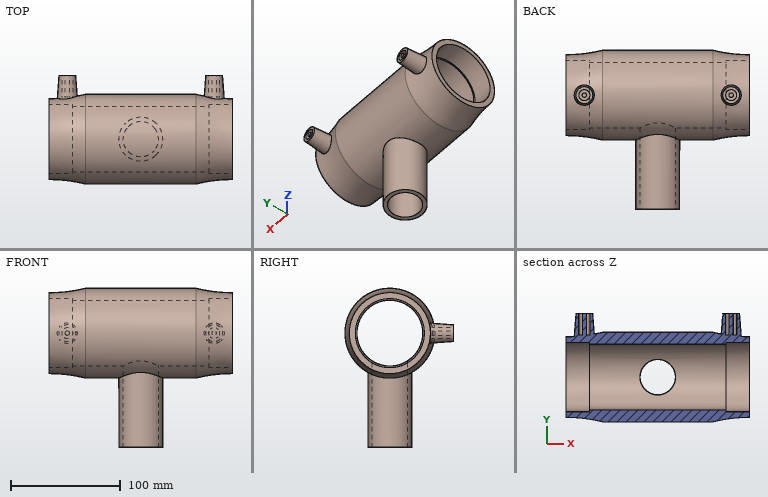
import cadquery as cq
import math

sleeve_length = 167.0
sleeve_radius = 82.0 / 2
end_radius = 36.9
taper_length = 33.4
socket_radius = 63.0 / 2
socket_depth = 21.4
bore_radius = 59.8 / 2

overall_height = 145.0
branch_radius = 40.0 / 2
branch_bore_radius = 32.0 / 2
branch_reach = overall_height - sleeve_radius

terminal_offset = 66.8
overall_width = 99.0
terminal_reach = overall_width - sleeve_radius
terminal_root = 33.4
terminal_root_radius = 9.5
terminal_tip_radius = 7.7
terminal_hole_radius = 10.0 / 2
terminal_hole_floor = 38.4
pin_radius = 4.0 / 2

half_length = sleeve_length / 2
taper_start = half_length - taper_length

taper_rise = sleeve_radius - end_radius
arc_radius = (taper_length**2 + taper_rise**2) / (2 * taper_rise)
arc_middle_angle = math.asin(taper_length / arc_radius) / 2
arc_middle_x = half_length - arc_radius * math.sin(arc_middle_angle)
arc_middle_radius = end_radius + arc_radius * (1 - math.cos(arc_middle_angle))


def cylinder_along_x(radius, start, length):
    return cq.Workplane("YZ", origin=(start, 0, 0)).circle(radius).extrude(length)


def cylinder_downward(radius):
    return cq.Workplane("XY").circle(radius).extrude(-branch_reach)


def make_sleeve():
    profile = (
        cq.Workplane("XY")
        .moveTo(-half_length, 0)
        .lineTo(-half_length, end_radius)
        .threePointArc((-arc_middle_x, arc_middle_radius), (-taper_start, sleeve_radius))
        .lineTo(taper_start, sleeve_radius)
        .threePointArc((arc_middle_x, arc_middle_radius), (half_length, end_radius))
        .lineTo(half_length, 0)
        .close()
    )
    return profile.revolve(360, (0, 0, 0), (1, 0, 0))


def make_sleeve_bore():
    through_bore = cylinder_along_x(bore_radius, -half_length, sleeve_length)
    left_socket = cylinder_along_x(socket_radius, -half_length, socket_depth)
    right_socket = cylinder_along_x(socket_radius, half_length - socket_depth, socket_depth)
    return through_bore.union(left_socket).union(right_socket)


def make_terminal(x):
    """Tapered shroud around a round contact pin."""
    shroud = (
        cq.Workplane("XY")
        .moveTo(0, terminal_root)
        .lineTo(terminal_root_radius, terminal_root)
        .lineTo(terminal_tip_radius, terminal_reach)
        .lineTo(0, terminal_reach)
        .close()
        .revolve(360, (0, 0, 0), (0, 1, 0))
    )
    return shroud.translate((x, 0, 0))


def make_terminal_recess(x):
    """Ring-shaped space between the shroud and the contact pin."""
    floor = cq.Workplane("XZ", origin=(x, terminal_hole_floor, 0))
    ring = floor.circle(terminal_hole_radius).circle(pin_radius)
    return ring.extrude(terminal_hole_floor - terminal_reach)


result = make_sleeve().union(cylinder_downward(branch_radius))
for terminal_x in (-terminal_offset, terminal_offset):
    result = result.union(make_terminal(terminal_x)).cut(make_terminal_recess(terminal_x))
result = result.cut(make_sleeve_bore()).cut(cylinder_downward(branch_bore_radius))